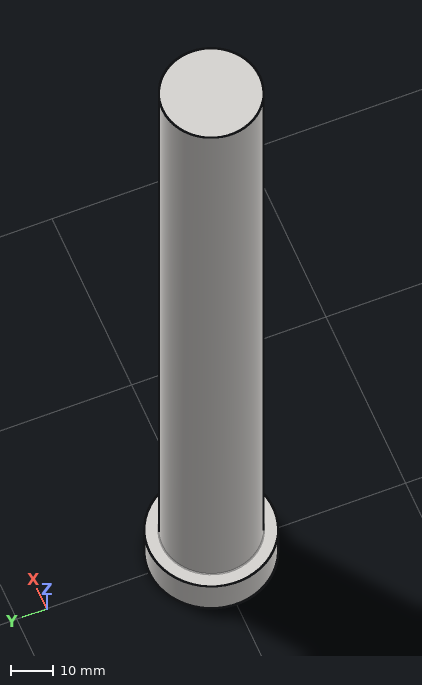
import cadquery as cq

total_length = 210.0
head_diameter = 32.0
head_height = 10.0
shank_diameter = 25.0
root_fillet = 0.2

head = cq.Workplane("XY").circle(head_diameter / 2).extrude(head_height)
shank = cq.Workplane("XY").circle(shank_diameter / 2).extrude(total_length)
pin = head.union(shank)

root_edge = cq.selectors.RadiusNthSelector(0)
result = pin.faces("<Z[1]").edges(root_edge).fillet(root_fillet)